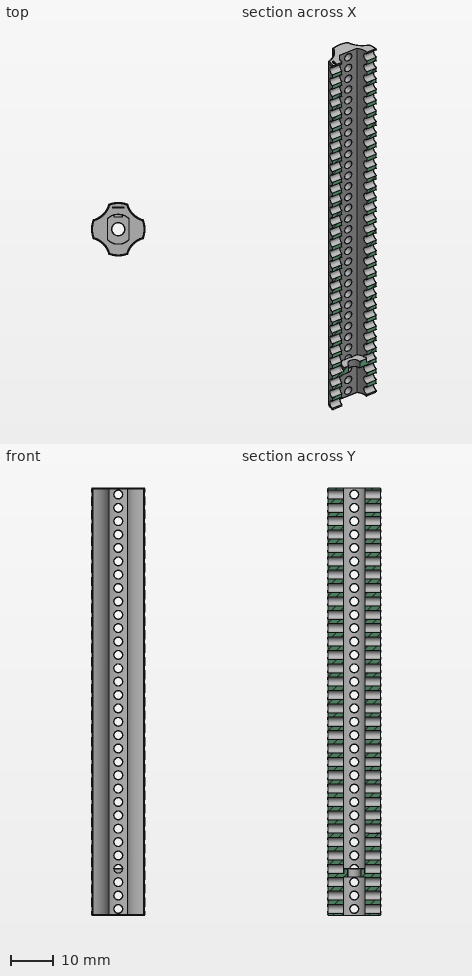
import cadquery as cq
import math

length = 100.0
outer_diameter = 12.5
lobe_half_width = 2.2
flute_floor_radius = 5.0
lobe_count = 4
end_chamfer = 0.25

socket_diameter = 7.0
socket_width = 5.0
web_bottom = 9.0
web_top = 11.0
web_hole_diameter = 3.0

wall_hole_diameter = 2.0
holes_per_row = 32

notch_floor = 2.9
notched_row = 3

groove_length = 2.8
groove_width = 0.3
groove_depth = 0.3
groove_offset = 5.07

outer_radius = outer_diameter / 2
lobe_corner_reach = math.sqrt(outer_radius**2 - lobe_half_width**2)
flute_floor = flute_floor_radius * math.cos(math.pi / lobe_count)
lobe_angle = 360.0 / lobe_count
hole_pitch = length / holes_per_row


def turned(point, angle):
    """Rotate a plan point about the axis by an angle in degrees."""
    x, y = point
    turn = math.radians(angle)
    return (
        x * math.cos(turn) - y * math.sin(turn),
        x * math.sin(turn) + y * math.cos(turn),
    )


def make_fluted_bar():
    """Bar with four convex lobes joined by concave flutes."""
    outline = cq.Workplane("XY").moveTo(lobe_corner_reach, -lobe_half_width)
    for lobe in range(lobe_count):
        angle = lobe * lobe_angle
        lobe_tip = turned((outer_radius, 0), angle)
        lobe_end = turned((lobe_corner_reach, lobe_half_width), angle)
        flute_middle = turned((flute_floor, flute_floor), angle)
        next_lobe = turned((lobe_corner_reach, -lobe_half_width), angle + lobe_angle)
        outline = outline.threePointArc(lobe_tip, lobe_end)
        outline = outline.threePointArc(flute_middle, next_lobe)
    bar = outline.close().extrude(length)
    return bar.faces("<Z or >Z").chamfer(end_chamfer)


def make_socket(bottom, top):
    """Double-D void: a cylinder trimmed by two flats facing along X."""
    depth = top - bottom
    plane = cq.Workplane("XY").workplane(offset=bottom)
    cylinder = plane.circle(socket_diameter / 2).extrude(depth)
    flats = plane.rect(socket_width, socket_diameter).extrude(depth)
    return cylinder.intersect(flats)


def make_wall_holes():
    """Two rows of cross holes, along Y and along X, that open on all four lobes."""
    centres = [(0, (row + 0.5) * hole_pitch) for row in range(holes_per_row)]
    rows = []
    for plane in ("XZ", "YZ"):
        profile = cq.Workplane(plane).pushPoints(centres).circle(wall_hole_diameter / 2)
        rows.append(profile.extrude(outer_radius, both=True))
    return rows


def make_web():
    """Solid double-D disc between the sockets, with a central through hole."""
    hole = (
        cq.Workplane("XY")
        .workplane(offset=web_bottom)
        .circle(web_hole_diameter / 2)
        .extrude(web_top - web_bottom)
    )
    return make_socket(web_bottom, web_top).cut(hole)


def make_web_notch():
    """Extension of one +Y wall hole a short way into the rim of the web."""
    return (
        cq.Workplane("XZ", origin=(0, notch_floor, (notched_row + 0.5) * hole_pitch))
        .circle(wall_hole_diameter / 2)
        .extrude(notch_floor - outer_radius)
    )


def make_end_groove():
    """Narrow straight groove in the top end face, on the +Y lobe."""
    return (
        cq.Workplane("XY", origin=(0, groove_offset, length))
        .rect(groove_length, groove_width)
        .extrude(-groove_depth)
    )


bar = make_fluted_bar().cut(make_socket(0, length))
for hole_row in make_wall_holes():
    bar = bar.cut(hole_row)
bar = bar.union(make_web())
result = bar.cut(make_web_notch()).cut(make_end_groove())